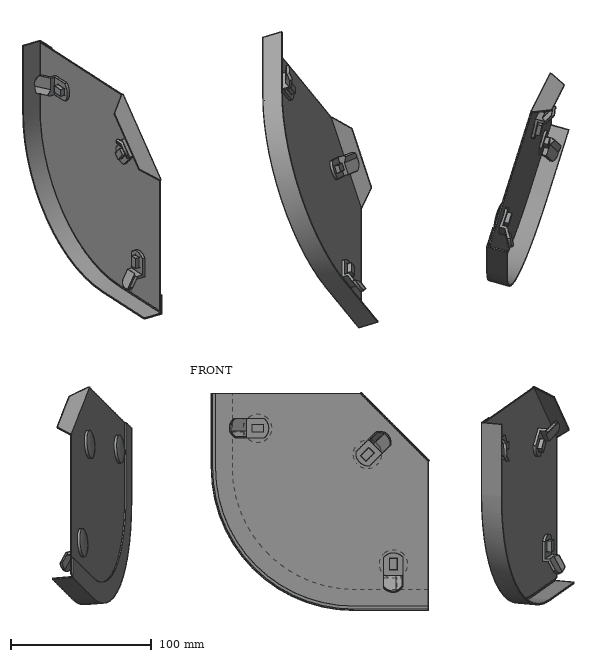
import cadquery as cq
import math


overall = 155.1
overall_depth = 17.4
sheet = 1.01
side = overall - sheet * math.sqrt(0.5)

rim_depth = 15.0
lip_width = 15.0
corner_radius = 101.5

plate_inset = 3.1
corner_cut = 48.4
plate_front = 2 * sheet
flange_depth = 13.0
flange_taper = 45.0

knob_radius = 10.1
knob_height = overall_depth - rim_depth + sheet
knob_crown_height = 1.4
knob_crown_inset = 5.0
shank_length = 8.0
shank_width = 5.3
shank_clearance = 0.2
shank_reach = 7.6
knob_near = 24.8
knob_far = 33.0
knob_diagonal = 111.0

latch_sheet = 2.0
latch_gap = 0.5
latch_width = 14.0
latch_tail = 7.9
end_bulge = 3.3
leg_inner = 8.0
leg_drop = 4.2
tongue_slope = 30.0
tongue_length = 11.6
flap_offset = 2.0
flap_angle = 30.0

stations = [
    (knob_far, side - knob_near, 180.0),
    (knob_diagonal, knob_diagonal, 45.0),
    (side - knob_near, knob_far, 270.0),
]


def at_station(x, z, heading, depth):
    """Location on the XZ layout whose local x is the heading and local z is -Y."""
    turn = math.radians(heading)
    frame = cq.Plane(
        origin=(x, -depth, z),
        xDir=(math.cos(turn), 0, math.sin(turn)),
        normal=(0, -1, 0),
    )
    return cq.Location(frame)


def at_every_station(body, depth):
    """One copy of the body for each knob."""
    return [body.val().moved(at_station(x, z, heading, depth)) for x, z, heading in stations]


def rim_line(inset):
    """Outline of the left side and the big corner, at an inset from the rim's outer face."""
    swing = (corner_radius - inset) * math.sqrt(0.5)
    return (
        cq.Workplane("XZ")
        .moveTo(inset, side)
        .lineTo(inset, corner_radius)
        .threePointArc((corner_radius - swing, corner_radius - swing), (corner_radius, inset))
        .lineTo(side, inset)
    )


def inside_area(inset, depth):
    """Slab bounded by the inset rim line and the two square sides."""
    return rim_line(inset).lineTo(side, side).close().extrude(depth)


def make_rim():
    """Wall along the edge and a lip turned in behind the plate."""
    wall = inside_area(0, rim_depth).cut(inside_area(sheet, rim_depth))
    lip = inside_area(0, sheet).cut(inside_area(lip_width, sheet))
    return wall.union(lip)


def make_flange():
    """Tapered flange standing on the cut corner's edge."""
    length = corner_cut * math.sqrt(2)
    narrowing = (flange_depth - sheet) / math.tan(math.radians(flange_taper))
    frame = cq.Plane(
        origin=(side - corner_cut / 2, -sheet, side - corner_cut / 2),
        xDir=(1, 0, -1),
        normal=(1, 0, 1),
    )
    return (
        cq.Workplane(frame)
        .moveTo(-length / 2, 0)
        .lineTo(length / 2, 0)
        .lineTo(length / 2, -sheet)
        .lineTo(length / 2 - narrowing, -flange_depth)
        .lineTo(narrowing - length / 2, -flange_depth)
        .lineTo(-length / 2, -sheet)
        .close()
        .extrude(sheet)
    )


def shank_hole():
    """Prism that clears a shank, long enough to pass through plate and latch."""
    return cq.Workplane("XY").box(
        shank_length + 2 * shank_clearance,
        shank_width + 2 * shank_clearance,
        2 * rim_depth,
    )


def make_plate():
    """Slab in front of the lip, with its flange and a hole for each shank."""
    slab = (
        rim_line(plate_inset)
        .lineTo(side, side - corner_cut)
        .lineTo(side - corner_cut, side)
        .close()
        .extrude(sheet)
        .translate((0, -sheet, 0))
    )
    plate = slab.union(make_flange())
    for hole in at_every_station(shank_hole(), sheet):
        plate = plate.cut(cq.Workplane(hole))
    return plate


def make_knob():
    """Crowned head below w = 0 (the plate's outer face) and a rectangular shank above it."""
    rise = knob_crown_height
    crown_radius = (knob_crown_inset ** 2 + rise ** 2) / (2 * rise)
    flat_radius = knob_radius - knob_crown_inset
    half_sweep = math.asin(knob_crown_inset / crown_radius) / 2
    crown_middle = (
        flat_radius + crown_radius * math.sin(half_sweep),
        crown_radius * (1 - math.cos(half_sweep)) - knob_height,
    )
    head = (
        cq.Workplane("XZ")
        .lineTo(knob_radius, 0)
        .lineTo(knob_radius, rise - knob_height)
        .threePointArc(crown_middle, (flat_radius, -knob_height))
        .lineTo(0, -knob_height)
        .close()
        .revolve(360, (0, 0, 0), (0, 1, 0))
    )
    shank = cq.Workplane("XY").rect(shank_length, shank_width).extrude(shank_reach - sheet)
    return head.union(shank)


def along_tongue(points):
    """Extrude a section of (v, height over the tongue's outer face) along the tongue's slope."""
    slope = math.radians(tongue_slope)
    frame = cq.Plane(
        origin=(leg_inner + latch_sheet, 0, leg_drop),
        xDir=(0, 1, 0),
        normal=(math.cos(slope), 0, math.sin(slope)),
    )
    reach = 2 * tongue_length
    return cq.Workplane(frame).polyline(points).close().extrude(reach, both=True)


def tongue_outline():
    """Prism square to the tongue that gives it a rounded end."""
    slope = math.radians(tongue_slope)
    frame = cq.Plane(
        origin=(leg_inner + latch_sheet, 0, leg_drop),
        xDir=(math.cos(slope), 0, math.sin(slope)),
        normal=(-math.sin(slope), 0, math.cos(slope)),
    )
    half = latch_width / 2
    bulge = end_bulge / math.cos(slope)
    corner = tongue_length - bulge
    return (
        cq.Workplane(frame)
        .moveTo(-tongue_length, -half)
        .lineTo(corner, -half)
        .threePointArc((tongue_length, 0), (corner, half))
        .lineTo(-tongue_length, half)
        .close()
        .extrude(latch_width, both=True)
    )


def make_latch():
    """Base on the knob's shank, a leg, and a sloping tongue with one side bent up as a flap."""
    half = latch_width / 2
    leg_outer = leg_inner + latch_sheet
    flap = math.radians(flap_angle)

    base = (
        cq.Workplane("XY")
        .moveTo(leg_outer, -half)
        .lineTo(leg_outer, half)
        .lineTo(end_bulge - latch_tail, half)
        .threePointArc((-latch_tail, 0), (end_bulge - latch_tail, -half))
        .close()
        .extrude(latch_sheet)
    )

    flap_top = half - latch_sheet * math.sin(flap)
    flap_rise = (flap_top - flap_offset) * math.tan(flap)
    upper_face = [
        (-half, latch_sheet),
        (flap_offset, latch_sheet),
        (flap_top, latch_sheet + flap_rise),
        (half, latch_sheet + flap_rise - latch_sheet * math.cos(flap)),
    ]
    outer_crease = (flap_offset + latch_sheet * math.tan(flap / 2), 0)
    section = [(-half, 0)] + upper_face + [outer_crease]
    filled_section = [(-half, -latch_width)] + upper_face + [(half, -latch_width)]

    past_leg = (
        cq.Workplane("XY", origin=(leg_inner, 0, 0))
        .box(overall, overall, overall, centered=(False, True, True))
    )
    tongue = along_tongue(section).intersect(tongue_outline()).intersect(past_leg)

    leg = (
        cq.Workplane("XY", origin=(leg_inner, 0, 0))
        .box(latch_sheet, latch_width, rim_depth, centered=(False, True, False))
        .intersect(along_tongue(filled_section))
    )
    return base.union(leg).union(tongue).cut(shank_hole())


rim = make_rim()
plate = make_plate()
knobs = at_every_station(make_knob(), sheet)
latches = at_every_station(make_latch(), plate_front + latch_gap)

result = cq.Compound.makeCompound([rim.val(), plate.val(), *knobs, *latches])